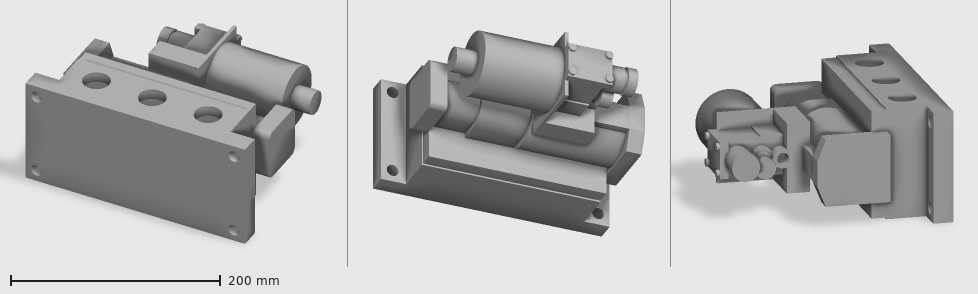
import cadquery as cq


flange_length = 236.0
flange_thickness = 20.0
subplate_left = -92.0
subplate_right = 92.0
subplate_height = 59.5
subplate_width = 110.0
mount_hole_diameter = 12.0
mount_hole_inset = 12.0
port_diameter = 27.5
port_depth = 11.0
port_height = 35.0
port_spacing = 60.0
port_count = 3

base_right = 91.0
base_top = 74.0
base_width = 106.5

spool_axis_y = 93.5
housing_right = 3.8
housing_radius = 31.2
rib_top = 131.0
rib_width = 25.0
sleeve_end = 54.0
sleeve_radius = 24.5
spring_sleeve_radius = 19.5

left_cap_end = -108.0
left_cap_shoulder = 123.4
left_cap_top = 131.8
left_cap_width = 66.4
right_cap_end = 108.7
right_cap_bottom = 68.0
right_cap_top = 120.2
right_cap_width = 52.2
right_cap_fillet = 6.0

pilot_left = -50.0
pilot_bottom = 123.4
pilot_top = 146.2
pilot_width = 69.8
plate_thickness = 3.6
plate_top = 201.6
solenoid_axis_y = 168.0
valve_left = -35.0
valve_width = 36.2
valve_root_width = 39.6
lip_left = -41.8
lip_top = 210.0

screw_diameter = 7.5
screw_height = 3.0
screw_z = 13.1

coil_radius = 32.0
coil_end = 85.2
tip_radius = 12.25
tip_end = 106.1

connector_axis_y = 191.9
connector_barrel_radius = 13.0
connector_barrel_end = -57.7
connector_neck_radius = 11.2
connector_neck_end = -60.7
connector_cap_radius = 13.8
connector_cap_end = -70.5

adjuster_flange_radius = 11.0
adjuster_flange_end = lip_left
adjuster_stem_radius = 6.9
adjuster_head_start = -44.6
adjuster_head_end = -56.2
adjuster_head_radius = 10.0
adjuster_head_y = 168.5
adjuster_head_z = -7.1

web_z_low = -8.0
web_z_high = 0.0

bushing_axis_y = 149.8
bushing_radius = 9.7
bushing_bore_radius = 5.9


def block(x_start, x_end, y_start, y_end, width):
    """Box between two X and two Y limits, centred on Z = 0."""
    size = (x_end - x_start, y_end - y_start, width)
    centre = ((x_start + x_end) / 2, (y_start + y_end) / 2, 0)
    return cq.Workplane("XY").box(*size).translate(centre)


def rod(x_start, x_end, radius, y, z=0.0):
    """Cylinder along X between two X limits."""
    return cq.Workplane("YZ", origin=(x_start, y, z)).circle(radius).extrude(x_end - x_start)


def make_subplate():
    half_length = flange_length / 2
    body = block(-half_length, half_length, 0, flange_thickness, subplate_width)
    body = body.union(block(subplate_left, subplate_right, 0, subplate_height, subplate_width))
    hole_span_x = flange_length - 2 * mount_hole_inset
    hole_span_z = subplate_width - 2 * mount_hole_inset
    holes = (
        cq.Workplane("XZ")
        .rect(hole_span_x, hole_span_z, forConstruction=True)
        .vertices()
        .circle(mount_hole_diameter / 2)
        .extrude(-flange_thickness)
    )
    ports = (
        cq.Workplane("XY", origin=(0, port_height, subplate_width / 2))
        .rarray(port_spacing, 1, port_count, 1)
        .circle(port_diameter / 2)
        .extrude(-port_depth)
    )
    return body.cut(holes).cut(ports)


def make_sleeve(x_start, x_end, radius):
    """Round-topped sleeve whose straight sides run down to the valve base."""
    cheeks = block(x_start, x_end, base_top, spool_axis_y, 2 * radius)
    return rod(x_start, x_end, radius, spool_axis_y).union(cheeks)


def make_spool_body():
    body = block(subplate_left, base_right, subplate_height, base_top, base_width)
    body = body.union(rod(subplate_left, housing_right, housing_radius, spool_axis_y))
    body = body.union(block(subplate_left, housing_right, spool_axis_y, rib_top, rib_width))
    body = body.union(make_sleeve(housing_right, sleeve_end, sleeve_radius))
    return body.union(make_sleeve(sleeve_end, base_right, spring_sleeve_radius))


def make_left_cap():
    half_width = left_cap_width / 2
    half_rib = rib_width / 2
    return (
        cq.Workplane("YZ", origin=(left_cap_end, 0, 0))
        .polyline([
            (subplate_height, -half_width),
            (left_cap_shoulder, -half_width),
            (left_cap_top, -half_rib),
            (left_cap_top, half_rib),
            (left_cap_shoulder, half_width),
            (subplate_height, half_width),
        ])
        .close()
        .extrude(subplate_left - left_cap_end)
    )


def make_right_cap():
    cap = block(base_right, right_cap_end, right_cap_bottom, right_cap_top, right_cap_width)
    return cap.edges("|X").fillet(right_cap_fillet)


def make_pilot():
    plate_left = housing_right - plate_thickness
    pilot = block(pilot_left, housing_right, pilot_bottom, pilot_top, pilot_width)
    pilot = pilot.union(block(plate_left, housing_right, pilot_bottom, plate_top, pilot_width))
    pilot = pilot.union(block(valve_left, plate_left, pilot_top, solenoid_axis_y, valve_root_width))
    pilot = pilot.union(block(valve_left, plate_left, pilot_top, lip_top, valve_width))
    return pilot.union(block(lip_left, housing_right, plate_top, lip_top, valve_width))


def make_screws():
    screw_radius = screw_diameter / 2
    places = [
        (x, z)
        for x in (lip_left + screw_radius, housing_right - screw_radius)
        for z in (-screw_z, screw_z)
    ]
    screws = cq.Workplane("XZ", origin=(0, lip_top, 0)).pushPoints(places)
    return screws.circle(screw_radius).extrude(-screw_height)


def make_solenoid():
    coil = rod(housing_right, coil_end, coil_radius, solenoid_axis_y)
    return coil.union(rod(coil_end, tip_end, tip_radius, solenoid_axis_y))


def make_connector():
    barrel = rod(connector_barrel_end, valve_left, connector_barrel_radius, connector_axis_y)
    neck = rod(connector_neck_end, connector_barrel_end, connector_neck_radius, connector_axis_y)
    cap = rod(connector_cap_end, connector_neck_end, connector_cap_radius, connector_axis_y)
    return barrel.union(neck).union(cap)


def make_adjuster():
    flange = rod(adjuster_flange_end, valve_left, adjuster_flange_radius, solenoid_axis_y)
    stem = rod(adjuster_head_start, adjuster_flange_end, adjuster_stem_radius, solenoid_axis_y)
    head = rod(
        adjuster_head_end, adjuster_head_start, adjuster_head_radius, adjuster_head_y, adjuster_head_z
    )
    return flange.union(stem).union(head)


def make_webs():
    """Webs on both sides of the adjuster: up to the connector and down to the bushing."""
    bushing_side = bushing_axis_y + bushing_bore_radius
    width = web_z_high - web_z_low
    upper = block(adjuster_head_end, adjuster_flange_end, adjuster_head_y, connector_axis_y, width)
    lower = block(pilot_left, adjuster_flange_end, bushing_side, adjuster_head_y, width)
    return upper.union(lower).translate((0, 0, (web_z_low + web_z_high) / 2))


def make_bushing():
    return rod(pilot_left, valve_left, bushing_radius, bushing_axis_y)


def make_bushing_bore():
    """Bore of the bushing; it also cuts into the top of the pilot block."""
    return rod(pilot_left, valve_left, bushing_bore_radius, bushing_axis_y)


result = make_subplate()
for feature in (
    make_spool_body(),
    make_left_cap(),
    make_right_cap(),
    make_pilot(),
    make_screws(),
    make_solenoid(),
    make_connector(),
    make_adjuster(),
    make_webs(),
    make_bushing(),
):
    result = result.union(feature)
result = result.cut(make_bushing_bore())